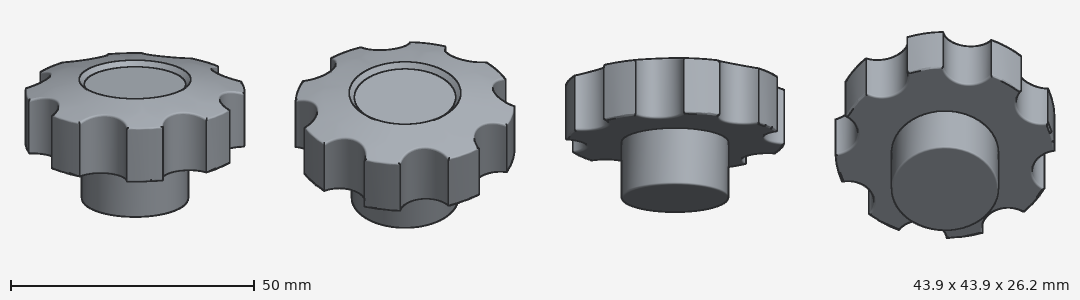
import cadquery as cq
import math

grip_span = 43.9
stem_diameter = 22.0
stem_height = 11.95
total_height = 26.15

flute_count = 8
flute_radius = 5.3
flute_bottom = 18.45
flute_center = flute_bottom + flute_radius

half_span = grip_span / 2
tip_half_width = math.sqrt(flute_radius**2 - (flute_center - half_span)**2)
grip_radius = math.hypot(half_span, tip_half_width)

dome_radius = 79.05
recess_top_radius = 11.45
recess_floor_radius = 10.4
recess_depth = 1.05

grip_edge_fillet = 0.45
stem_edge_fillet = 0.4


def dome_height(radius):
    """Height of the spherical top at a distance from the axis."""
    center_z = total_height - math.sqrt(dome_radius**2 - recess_top_radius**2)
    return center_z + math.sqrt(dome_radius**2 - radius**2)


def make_grip():
    """Domed disc with finger flutes and rounded edges."""
    mid_radius = grip_radius / 2
    disc = (
        cq.Workplane("XZ")
        .moveTo(0, stem_height)
        .lineTo(grip_radius, stem_height)
        .lineTo(grip_radius, dome_height(grip_radius))
        .threePointArc((mid_radius, dome_height(mid_radius)), (0, dome_height(0)))
        .close()
        .revolve(360, (0, 0), (0, 1))
    )
    flutes = (
        cq.Workplane("XY")
        .polarArray(flute_center, 0, 360, flute_count)
        .circle(flute_radius)
        .extrude(dome_height(0))
    )
    fluted = disc.cut(flutes)
    fluted = fluted.faces(">Z").edges().fillet(grip_edge_fillet)
    return fluted.faces("<Z").edges().fillet(grip_edge_fillet)


def make_stem():
    """Plain round stem with a rounded lower edge."""
    stem = cq.Workplane("XY").circle(stem_diameter / 2).extrude(stem_height)
    return stem.faces("<Z").edges().fillet(stem_edge_fillet)


def make_recess():
    """Cutter for the recess; its wall keeps its slope above the rim."""
    wall_slope = (recess_top_radius - recess_floor_radius) / recess_depth
    floor_z = total_height - recess_depth
    cutter_top = dome_height(0)
    cutter_top_radius = recess_floor_radius + wall_slope * (cutter_top - floor_z)
    return (
        cq.Workplane("XZ")
        .moveTo(0, floor_z)
        .lineTo(recess_floor_radius, floor_z)
        .lineTo(cutter_top_radius, cutter_top)
        .lineTo(0, cutter_top)
        .close()
        .revolve(360, (0, 0), (0, 1))
    )


result = make_grip().union(make_stem()).cut(make_recess())